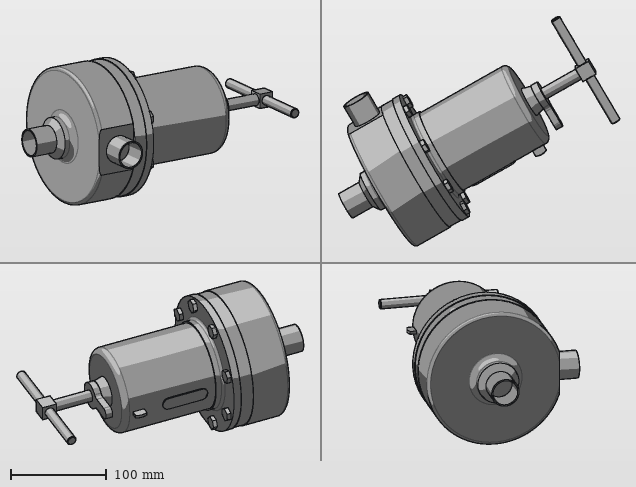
import cadquery as cq
import math

overall_height = 146.56
overall_width = 166.13
overall_length = 297.52

body_radius = overall_height / 2
body_length = 42.5
body_edge_radius = 3.175
body_flat_x = 68.9
ring_radius = 72.5
ring_end = body_length + 14.0
flange_end = ring_end + 8.5

collar_radius = 48.0
collar_end = flange_end + 8.9
collar_fillet = 2.8
bell_radius = 46.4
bell_end = 179.0
bell_edge_radius = 6.35
neck_base_radius = 16.3
neck_top_radius = 13.5
neck_end = bell_end + 10.3

pipe_radius = 14.8
bore_radius = 13.3
nozzle_length = 42.3
hub_radius = 22.1
hub_fillet = 6.35
hub_end = 12.1
hub_taper_end = 17.7
port_center_y = 23.8
port_end_x = overall_width - body_radius

bolt_count = 8
bolt_circle_radius = 64.3
bolt_across_flats = 12.7
bolt_head_height = 4.5

nut_radius = 14.3
lever_thickness = 7.6
lever_end = neck_end + lever_thickness
arm_half_width = 6.35
arm_tip_center_x = -33.5
arm_fillet = 6.35

screw_radius = 6.2
block_size = 15.9
block_end = overall_length - nozzle_length
block_start = block_end - block_size
handle_length = 127.0
handle_radius = 5.1
handle_chamfer = 0.8

lug_outer_x = -54.9
lug_center_y = 162.6
lug_length = 13.0
lug_thickness = 3.2
lug_end_rise = 1.6
pad_face_x = -47.5
pad_start_y = 83.3
pad_length = 51.6
pad_width = 13.7


def cylinder_y(radius, start, end):
    """Solid cylinder about the Y axis between two Y positions."""
    return cq.Workplane("XZ", origin=(0, start, 0)).circle(radius).extrude(start - end)


def make_housing():
    """Solid of revolution from the nozzle tip to the top of the neck."""
    arc_inset = 1 - math.sqrt(0.5)
    body_arc_mid = body_edge_radius * arc_inset
    hub_arc_mid = hub_fillet * arc_inset
    collar_arc_mid = collar_fillet * arc_inset
    bell_arc_mid = bell_edge_radius * arc_inset
    profile = (
        cq.Workplane("XY")
        .moveTo(0, -nozzle_length)
        .lineTo(pipe_radius, -nozzle_length)
        .lineTo(pipe_radius, -hub_taper_end)
        .lineTo(hub_radius, -hub_end)
        .lineTo(hub_radius, -hub_fillet)
        .threePointArc(
            (hub_radius + hub_arc_mid, -hub_arc_mid),
            (hub_radius + hub_fillet, 0),
        )
        .lineTo(body_radius - body_edge_radius, 0)
        .threePointArc(
            (body_radius - body_arc_mid, body_arc_mid),
            (body_radius, body_edge_radius),
        )
        .lineTo(body_radius, body_length)
        .lineTo(ring_radius, body_length)
        .lineTo(ring_radius, ring_end)
        .lineTo(body_radius, ring_end)
        .lineTo(body_radius, flange_end)
        .lineTo(collar_radius + collar_fillet, flange_end)
        .threePointArc(
            (collar_radius + collar_arc_mid, flange_end + collar_arc_mid),
            (collar_radius, flange_end + collar_fillet),
        )
        .lineTo(collar_radius, collar_end)
        .lineTo(bell_radius, collar_end)
        .lineTo(bell_radius, bell_end - bell_edge_radius)
        .threePointArc(
            (bell_radius - bell_arc_mid, bell_end - bell_arc_mid),
            (bell_radius - bell_edge_radius, bell_end),
        )
        .lineTo(neck_base_radius, bell_end)
        .lineTo(neck_top_radius, neck_end)
        .lineTo(0, neck_end)
        .close()
    )
    return profile.revolve(360, (0, 0, 0), (0, 1, 0))


def make_body_flat_cutter():
    """Block that trims the body, but not the ring, to a flat on the +X side."""
    depth = body_radius - body_flat_x
    return (
        cq.Workplane("XY", origin=(body_flat_x, 0, 0))
        .box(depth, body_length, overall_height, centered=(False, False, True))
    )


def make_port():
    """Outlet pipe, rooted inside the body and running out along +X."""
    return cq.Workplane("YZ", origin=(0, port_center_y, 0)).circle(pipe_radius).extrude(port_end_x)


def make_bores():
    """Blind bores as long as the straight pipes they run through."""
    nozzle_bore = cylinder_y(bore_radius, -nozzle_length, -hub_taper_end)
    port_bore = (
        cq.Workplane("YZ", origin=(body_flat_x, port_center_y, 0))
        .circle(bore_radius)
        .extrude(port_end_x - body_flat_x)
    )
    return nozzle_bore.union(port_bore)


def make_bolt_heads():
    """Ring of hexagonal heads, each with a corner pointing outwards."""
    across_corners = bolt_across_flats / math.cos(math.pi / 6)
    pitch = 360 / bolt_count
    return (
        cq.Workplane("XZ", origin=(0, flange_end, 0))
        .polarArray(bolt_circle_radius, pitch / 2, 360, bolt_count)
        .polygon(6, across_corners)
        .extrude(-bolt_head_height)
    )


def make_lever():
    """Nut with a round-ended arm, blended into the nut by tangent fillets."""
    fillet_center_z = arm_half_width + arm_fillet
    fillet_center_x = -math.sqrt((nut_radius + arm_fillet) ** 2 - fillet_center_z**2)
    nut_share = nut_radius / (nut_radius + arm_fillet)
    joint_x = fillet_center_x * nut_share
    joint_z = fillet_center_z * nut_share
    joint_angle = math.atan2(-fillet_center_z, -fillet_center_x)
    middle_angle = (joint_angle - math.pi / 2) / 2
    middle_x = fillet_center_x + arm_fillet * math.cos(middle_angle)
    middle_z = fillet_center_z + arm_fillet * math.sin(middle_angle)
    return (
        cq.Workplane("XZ", origin=(0, neck_end, 0))
        .moveTo(joint_x, joint_z)
        .threePointArc((nut_radius, 0), (joint_x, -joint_z))
        .threePointArc((middle_x, -middle_z), (fillet_center_x, -arm_half_width))
        .lineTo(arm_tip_center_x, -arm_half_width)
        .threePointArc((arm_tip_center_x - arm_half_width, 0), (arm_tip_center_x, arm_half_width))
        .lineTo(fillet_center_x, arm_half_width)
        .threePointArc((middle_x, middle_z), (joint_x, joint_z))
        .close()
        .extrude(-lever_thickness)
    )


def make_handle():
    """Adjusting screw, square block and cross bar with chamfered ends."""
    block_center_y = block_end - block_size / 2
    screw = cylinder_y(screw_radius, lever_end, block_start)
    block = cq.Workplane("XY").box(block_size, block_size, block_size)
    bar = (
        cq.Workplane("YZ")
        .circle(handle_radius)
        .extrude(handle_length / 2, both=True)
        .faces("<X or >X")
        .chamfer(handle_chamfer)
    )
    return screw.union(block.union(bar).translate((0, block_center_y, 0)))


def make_lug():
    """Thin lug with a shallow rounded end on the -X side of the bell."""
    half_length = lug_length / 2
    corner_x = lug_outer_x + lug_end_rise
    return (
        cq.Workplane("XY", origin=(0, lug_center_y, 0))
        .moveTo(0, half_length)
        .lineTo(corner_x, half_length)
        .threePointArc((lug_outer_x, 0), (corner_x, -half_length))
        .lineTo(0, -half_length)
        .close()
        .extrude(lug_thickness / 2, both=True)
    )


def make_pad():
    """Round-ended pad standing slightly proud of the bell."""
    return (
        cq.Workplane("YZ", origin=(pad_face_x, pad_start_y + pad_length / 2, 0))
        .slot2D(pad_length, pad_width)
        .extrude(-pad_face_x)
    )


result = make_housing().cut(make_body_flat_cutter())
for feature in (
    make_port(),
    make_bolt_heads(),
    make_lever(),
    make_handle(),
    make_lug(),
    make_pad(),
):
    result = result.union(feature)
result = result.cut(make_bores())